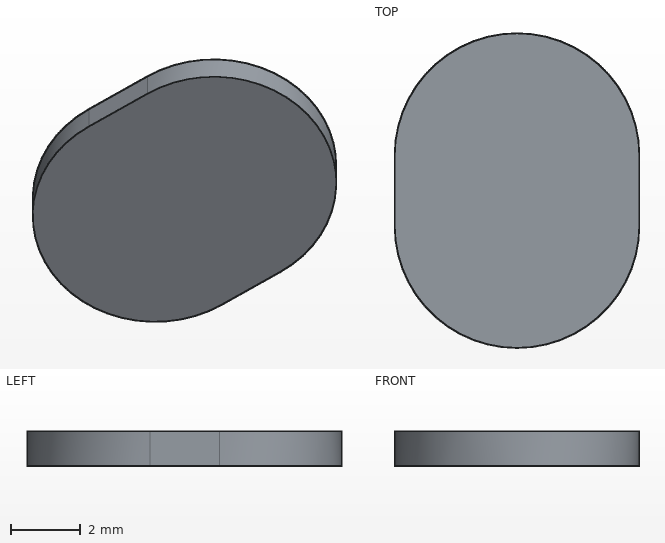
import cadquery as cq

width = 7.0
length = 9.0
thickness = 1.0

result = (
    cq.Workplane("XY")
    .slot2D(length, width, angle=90)
    .extrude(thickness)
)